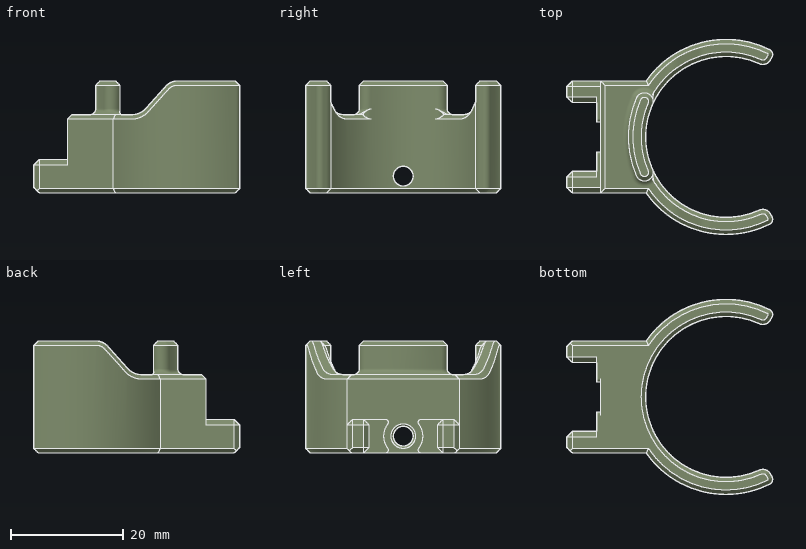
import cadquery as cq
import math

overall_length = 36.72

ring_outer_radius = 17.4
wall = 3.1
ring_inner_radius = ring_outer_radius - wall
ring_mid_radius = ring_outer_radius - wall / 2
tip_angle = 60
tip_outer_corner_radius = 1.0
tip_inner_corner_radius = 1.5
clip_height = 20.0
low_height = 14.0
edge_chamfer = 0.8

ramp_start_x = -9.4
ramp_end_x = -4.0
ramp_foot_radius = 3.3
ramp_crest_radius = 2.95

block_width = 20.0
block_face_x = -22.4

tip_corner_distance = ring_outer_radius - tip_outer_corner_radius
tip_corner_angle = math.radians(tip_angle) + math.asin(tip_outer_corner_radius / tip_corner_distance)
ring_tip_x = tip_corner_distance * math.cos(tip_corner_angle) + tip_outer_corner_radius
prong_tip_x = ring_tip_x - overall_length
prong_width = 3.9
prong_height = 6.02
prong_chamfer = 1.0
pad_thickness = 0.65
pad_recess_radius = 3.5
pad_corner_radius = 0.55

hole_z = prong_height / 2
hole_diameter = 3.5
hole_chamfer = 0.45

tab_half_angle = 23.5
tab_fillet = 1.0

overlap = 0.35


def ring_point(radius, angle):
    a = math.radians(angle)
    return (radius * math.cos(a), radius * math.sin(a))


def ring_wall():
    """Full-height ring open towards +X, with rounded corners at both tips."""
    corner_x, corner_y = ring_point(ring_inner_radius, tip_angle)
    inner_tip_corners = cq.selectors.BoxSelector(
        (corner_x - overlap, -corner_y - overlap, -overlap),
        (corner_x + overlap, corner_y + overlap, clip_height + overlap),
    )
    return (
        cq.Workplane("XY")
        .moveTo(*ring_point(ring_outer_radius, tip_angle))
        .threePointArc((-ring_outer_radius, 0), ring_point(ring_outer_radius, -tip_angle))
        .lineTo(*ring_point(ring_inner_radius, -tip_angle))
        .threePointArc((-ring_inner_radius, 0), ring_point(ring_inner_radius, tip_angle))
        .close()
        .extrude(clip_height)
        .edges("|Z and >X")
        .edges(">Y or <Y")
        .fillet(tip_outer_corner_radius)
        .edges(inner_tip_corners)
        .fillet(tip_inner_corner_radius)
    )


def side_profile():
    """Everything under the two-level top line, as a prism along Y."""
    rise = clip_height - low_height
    slope = math.atan2(rise, ramp_end_x - ramp_start_x)

    def along_ramp(distance):
        return (distance * math.cos(slope), distance * math.sin(slope))

    foot_tangent = ramp_foot_radius * math.tan(slope / 2)
    crest_tangent = ramp_crest_radius * math.tan(slope / 2)
    foot_dx, foot_dz = along_ramp(foot_tangent)
    crest_dx, crest_dz = along_ramp(crest_tangent)
    reach = ring_outer_radius + overlap
    return (
        cq.Workplane("XZ")
        .moveTo(block_face_x, 0)
        .lineTo(block_face_x, low_height)
        .lineTo(ramp_start_x - foot_tangent, low_height)
        .tangentArcPoint((ramp_start_x + foot_dx, low_height + foot_dz), relative=False)
        .lineTo(ramp_end_x - crest_dx, clip_height - crest_dz)
        .tangentArcPoint((ramp_end_x + crest_tangent, clip_height), relative=False)
        .lineTo(reach, clip_height)
        .lineTo(reach, 0)
        .close()
        .extrude(reach, both=True)
    )


def clip_body():
    """Ring and block with chamfered top and bottom edges."""
    block = (
        cq.Workplane("XY")
        .box(-block_face_x, block_width, low_height, centered=(False, True, False))
        .translate((block_face_x, 0, 0))
        .cut(cq.Workplane("XY").circle(ring_mid_radius).extrude(low_height))
    )
    body = ring_wall().union(block).intersect(side_profile())

    face_top_edge = body.edges("|Y").edges("<X").edges(">Z")
    rim = body.edges("not(|Y or |Z)").add(face_top_edge)
    return rim.chamfer(edge_chamfer)


def back_tab():
    """Upright tab sharing the ring wall, with fully rounded ends and a chamfered top."""
    start = 180 - tab_half_angle
    end = 180 + tab_half_angle
    root_z = low_height - edge_chamfer
    return (
        cq.Workplane("XY", origin=(0, 0, root_z))
        .moveTo(*ring_point(ring_outer_radius, start))
        .threePointArc((-ring_outer_radius, 0), ring_point(ring_outer_radius, end))
        .tangentArcPoint(ring_point(ring_inner_radius, end), relative=False)
        .threePointArc((-ring_inner_radius, 0), ring_point(ring_inner_radius, start))
        .tangentArcPoint(ring_point(ring_outer_radius, start), relative=False)
        .close()
        .extrude(clip_height - root_z)
        .faces(">Z")
        .edges()
        .chamfer(edge_chamfer)
    )


def foot_fillet_section(wall_x):
    """Concave fillet section growing out to +X of a vertical wall, with its root inside the wall."""
    return (
        cq.Workplane("XZ")
        .moveTo(wall_x - overlap, low_height)
        .lineTo(wall_x + tab_fillet, low_height)
        .radiusArc((wall_x, low_height + tab_fillet), tab_fillet)
        .lineTo(wall_x - overlap, low_height + tab_fillet)
        .close()
    )


def tab_foot():
    """Fillet around the outside and the ends of the tab, trimmed to the ring bore."""
    foot = (
        foot_fillet_section(ring_outer_radius)
        .revolve(2 * tab_half_angle, (0, 0), (0, 1))
        .rotate((0, 0, 0), (0, 0, 1), 180 - tab_half_angle)
    )
    for angle in (180 - tab_half_angle, 180 + tab_half_angle):
        x, y = ring_point(ring_mid_radius, angle)
        end = foot_fillet_section(wall / 2).revolve(360, (0, 0), (0, 1))
        foot = foot.union(end.translate((x, y, 0)))
    bore_taper = cq.Workplane(
        cq.Solid.makeCone(
            ring_inner_radius + edge_chamfer,
            ring_inner_radius,
            tab_fillet,
            pnt=cq.Vector(0, 0, low_height),
        )
    )
    return foot.cut(bore_taper)


def prong(side):
    """Chamfered prong, flush with the block side; side is +1 or -1 along Y."""
    length = block_face_x - prong_tip_x
    bar = (
        cq.Workplane("XY")
        .box(length, prong_width, prong_height, centered=(False, True, False))
        .edges("<X or (|X and (>Z or <Y))")
        .chamfer(prong_chamfer)
        .edges("|X and <Z")
        .edges(">Y")
        .chamfer(edge_chamfer)
        .translate((prong_tip_x, (block_width - prong_width) / 2, 0))
    )
    return bar if side > 0 else bar.mirror("XZ")


def pad(side):
    """Thin raised pad beside the screw hole, hollowed around the hole with rounded corners."""
    pad_width = block_width / 2 - prong_chamfer
    return (
        cq.Workplane("XY")
        .box(pad_thickness, pad_width, prong_height, centered=(True, True, False))
        .translate((block_face_x - pad_thickness / 2, side * pad_width / 2, 0))
        .cut(hole_cylinder(pad_recess_radius))
        .edges(cq.selectors.BoxSelector(
            (block_face_x - pad_thickness - overlap, -pad_recess_radius, -overlap),
            (block_face_x + overlap, pad_recess_radius, prong_height + overlap),
        ))
        .edges("|X")
        .fillet(pad_corner_radius)
    )


def hole_cylinder(radius):
    """Cylinder along +X from in front of the pads into the ring bore."""
    start = block_face_x - pad_thickness - overlap
    return (
        cq.Workplane("YZ", origin=(start, 0, hole_z))
        .circle(radius)
        .extrude(-start - ring_mid_radius + wall)
    )


def hole_countersink():
    mouth_radius = hole_diameter / 2 + hole_chamfer
    return cq.Workplane(
        cq.Solid.makeCone(
            mouth_radius,
            hole_diameter / 2,
            hole_chamfer,
            pnt=cq.Vector(block_face_x, 0, hole_z),
            dir=cq.Vector(1, 0, 0),
        )
    )


result = clip_body().union(back_tab()).union(tab_foot())
for side in (1, -1):
    result = result.union(prong(side)).union(pad(side))
result = result.cut(hole_cylinder(hole_diameter / 2)).cut(hole_countersink())